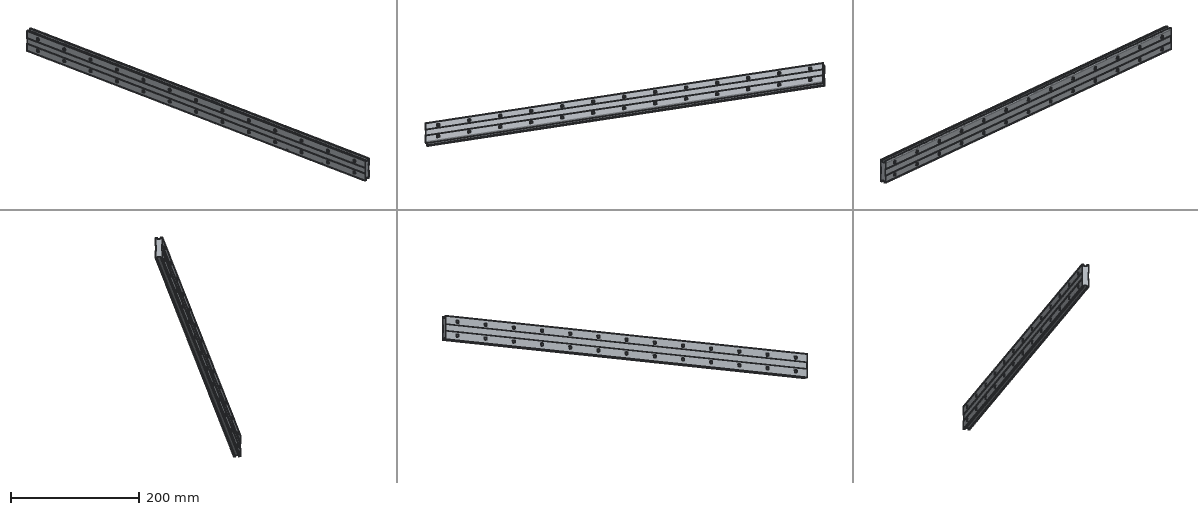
import cadquery as cq

length = 640.0
thickness = 11.0
height = 37.0

rear_edge_radius = 1.6

front_channel_half_width = 5.25
rear_channel_half_width = 5.6
channel_depth = 0.6

groove_half_width = 2.7
groove_depth = 2.4
groove_corner_radius = 1.4

holes_per_row = 13
hole_pitch = 50.0
hole_row_offset = 11.0
hole_diameter = 4.5


def bar_along_x(size_y, size_z):
    """A full-length bar centred on the X axis."""
    return cq.Workplane("XY").box(length, size_y, size_z)


def face_channel(side, half_width):
    """Cutter for the shallow channel in the face on the given Y side."""
    cutter = bar_along_x(2 * channel_depth, 2 * half_width)
    return cutter.translate((0, side * thickness / 2, 0))


def edge_groove(side):
    """Cutter for the groove in the edge on the given Z side, rounded at its bottom corners."""
    cutter = bar_along_x(2 * groove_half_width, 2 * groove_depth)
    cutter = cutter.edges("|X").fillet(groove_corner_radius)
    mouth_height = groove_depth - groove_corner_radius
    mouth = bar_along_x(2 * groove_half_width, 2 * mouth_height)
    return cutter.union(mouth).translate((0, 0, side * height / 2))


def mounting_holes():
    """Cutters for both rows of through holes."""
    return (
        cq.Workplane("XZ")
        .rarray(hole_pitch, 2 * hole_row_offset, holes_per_row, 2)
        .circle(hole_diameter / 2)
        .extrude(thickness, both=True)
    )


body = bar_along_x(thickness, height).edges("|X and >Y").fillet(rear_edge_radius)
body = body.cut(face_channel(-1, front_channel_half_width))
body = body.cut(face_channel(1, rear_channel_half_width))
for side in (-1, 1):
    body = body.cut(edge_groove(side))

result = body.cut(mounting_holes())